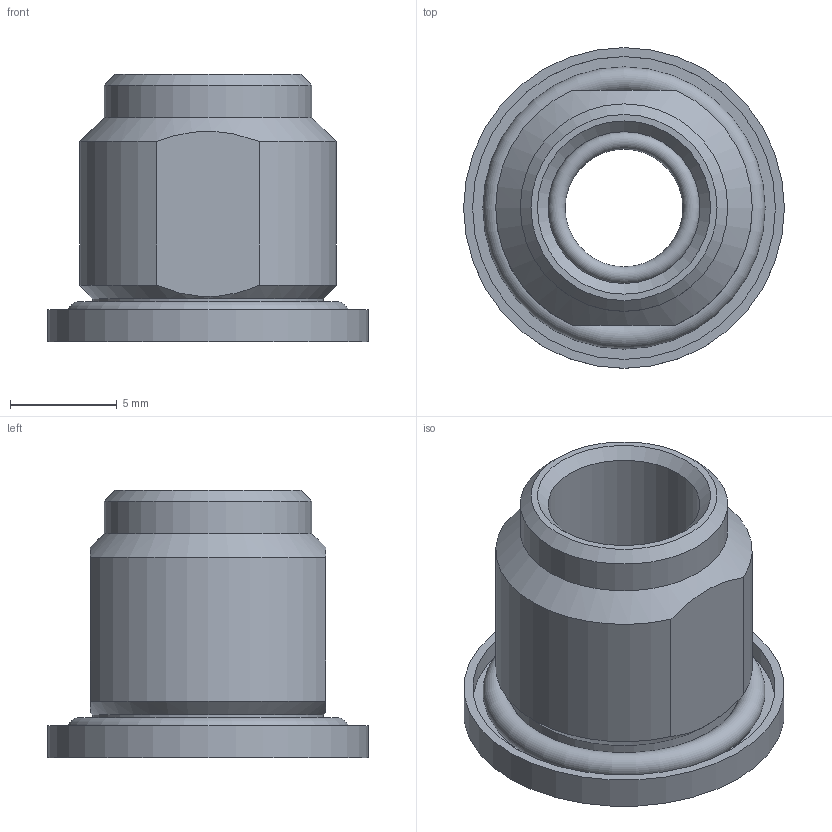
import cadquery as cq

cup_radius = 7.5
cup_height = 1.5
cup_wall = 0.42
cup_hole_radius = 2.75
floor_thickness = 0.67

outer_ring_section_radius = 0.6
inner_ring_section_radius = 0.4

bore_radius = 3.55
neck_radius = 5.4
body_radius = 6.0
collar_radius = 4.85
rim_radius = 4.35
bore_mouth_radius = 4.05
flat_spacing = 11.0
neck_top = 2.0
body_bottom = 2.64
body_top = 9.36
collar_bottom = 10.47
collar_top = 12.0
total_height = 12.5
bore_mouth_depth = 0.5


def make_cup():
    """Shallow round cup with a hole through its floor."""
    blank = cq.Workplane("XY").circle(cup_radius).circle(cup_hole_radius).extrude(cup_height)
    recess = (
        cq.Workplane("XY", origin=(0, 0, floor_thickness))
        .circle(cup_radius - cup_wall)
        .extrude(cup_height - floor_thickness)
    )
    return blank.cut(recess)


def make_sleeve():
    """Turned sleeve standing on the cup floor, with two wrench flats across Y."""
    turned = (
        cq.Workplane("XZ")
        .moveTo(bore_radius, floor_thickness)
        .lineTo(neck_radius, floor_thickness)
        .lineTo(neck_radius, neck_top)
        .lineTo(body_radius, body_bottom)
        .lineTo(body_radius, body_top)
        .lineTo(collar_radius, collar_bottom)
        .lineTo(collar_radius, collar_top)
        .lineTo(rim_radius, total_height)
        .lineTo(bore_mouth_radius, total_height)
        .lineTo(bore_radius, total_height - bore_mouth_depth)
        .close()
        .revolve(360, (0, 0, 0), (0, 1, 0))
    )
    between_flats = cq.Workplane("XY").box(
        2 * body_radius, flat_spacing, total_height, centered=(True, True, False)
    )
    return turned.intersect(between_flats)


def make_ring(centre_radius, section_radius):
    """Round-section sealing ring resting on the cup floor."""
    return (
        cq.Workplane("XZ")
        .center(centre_radius, floor_thickness + section_radius)
        .circle(section_radius)
        .revolve(360, (-centre_radius, 0, 0), (-centre_radius, 1, 0))
    )


cup = make_cup()
sleeve = make_sleeve()
outer_ring = make_ring(neck_radius + outer_ring_section_radius, outer_ring_section_radius)
inner_ring = make_ring(bore_radius - inner_ring_section_radius, inner_ring_section_radius)

result = cq.Compound.makeCompound([cup.val(), sleeve.val(), outer_ring.val(), inner_ring.val()])